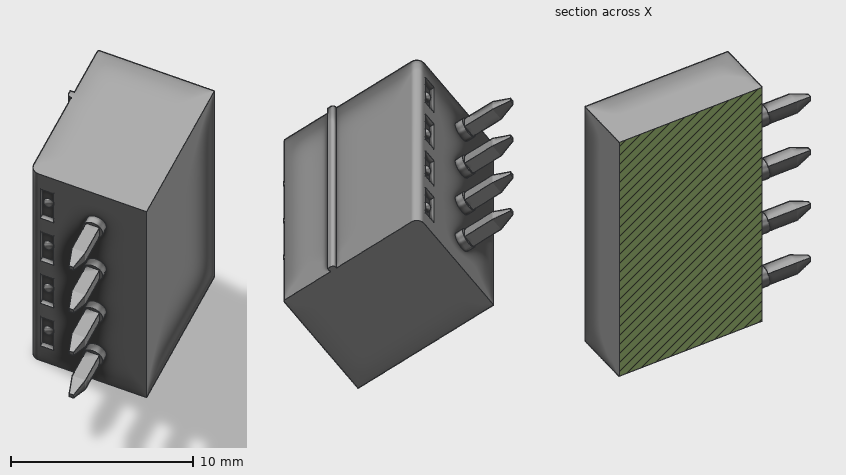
import cadquery as cq

HEIGHT = 16.63
WIDTH = 7.0
DEPTH = 9.2
FRONT_EDGE_RADIUS = 0.5

REAR_BEVEL_X = 0.07
REAR_BEVEL_Y = 0.1
BRIDGE_HEIGHT = 0.4

RIB_PROTRUSION = 0.25
RIB_WIDTH = 0.42
RIB_TO_REAR = 3.2
RIB_EDGE_RADIUS = 0.2

POLE_COUNT = 4
PITCH = 3.8
FIRST_POLE_Z = (HEIGHT - (POLE_COUNT - 1) * PITCH) / 2
POLE_HEIGHTS = [FIRST_POLE_Z + i * PITCH for i in range(POLE_COUNT)]

PIN_X = WIDTH - 3.01
PIN_REACH = 3.41
COLLAR_DIAMETER = 1.2
COLLAR_LENGTH = 0.5
SHANK_SIDE = 0.8
TIP_LENGTH = 1.01
TIP_SIDE = 0.27
SHANK_LENGTH = PIN_REACH - COLLAR_LENGTH - TIP_LENGTH

POCKET_LEFT = 0.62
POCKET_WIDTH = 0.8
POCKET_HEIGHT = 2.6
POCKET_DEPTH = 0.3
BUMP_RADIUS = 0.3
BUMP_X = POCKET_LEFT + POCKET_WIDTH / 2


def make_housing():
    block = cq.Workplane("XY").box(WIDTH, DEPTH, HEIGHT, centered=False)
    block = block.edges("|Z and <X and <Y").fillet(FRONT_EDGE_RADIUS)
    bevel = (
        cq.Workplane("XY")
        .moveTo(0, DEPTH)
        .lineTo(REAR_BEVEL_X, DEPTH)
        .lineTo(0, DEPTH - REAR_BEVEL_Y)
        .close()
        .extrude(HEIGHT)
    )
    for lower_pole_z in POLE_HEIGHTS[:-1]:
        bridge = (
            cq.Workplane("XY")
            .box(2 * REAR_BEVEL_X, 2 * REAR_BEVEL_Y, BRIDGE_HEIGHT)
            .translate((0, DEPTH, lower_pole_z + PITCH / 2))
        )
        bevel = bevel.cut(bridge)
    return block.cut(bevel)


def make_rib():
    return (
        cq.Workplane("XY")
        .box(2 * RIB_PROTRUSION, RIB_WIDTH, HEIGHT, centered=False)
        .edges("|Z and <X and <Y")
        .fillet(RIB_EDGE_RADIUS)
        .translate((-RIB_PROTRUSION, DEPTH - RIB_TO_REAR - RIB_WIDTH, 0))
    )


def make_pin(z):
    collar = cq.Workplane("XZ", origin=(PIN_X, 0, z)).circle(COLLAR_DIAMETER / 2).extrude(COLLAR_LENGTH)
    shank = (
        cq.Workplane("XZ", origin=(PIN_X, -COLLAR_LENGTH, z))
        .rect(SHANK_SIDE, SHANK_SIDE)
        .extrude(SHANK_LENGTH)
    )
    tip = (
        cq.Workplane("XZ", origin=(PIN_X, TIP_LENGTH - PIN_REACH, z))
        .rect(SHANK_SIDE, SHANK_SIDE)
        .workplane(offset=TIP_LENGTH)
        .rect(TIP_SIDE, TIP_SIDE)
        .loft(ruled=True)
    )
    return collar.union(shank).union(tip)


def make_pocket(z):
    return (
        cq.Workplane("XY")
        .box(POCKET_WIDTH, POCKET_DEPTH, POCKET_HEIGHT, centered=(True, False, True))
        .translate((BUMP_X, 0, z))
    )


def make_bump(z):
    return cq.Workplane("XY").sphere(BUMP_RADIUS).translate((BUMP_X, POCKET_DEPTH, z))


result = make_housing().union(make_rib())
for pole_z in POLE_HEIGHTS:
    result = result.cut(make_pocket(pole_z))
    result = result.union(make_bump(pole_z))
    result = result.union(make_pin(pole_z))